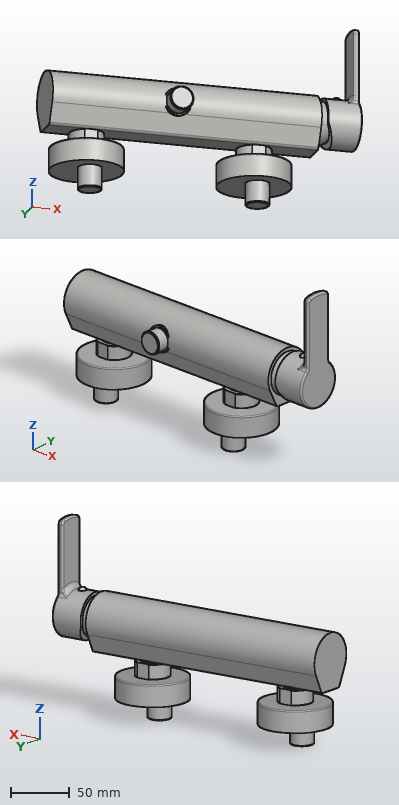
import cadquery as cq
import math

TOTAL_LENGTH = 277.6
TOTAL_HEIGHT = 167.41
TOTAL_DEPTH = 67.2

BODY_LENGTH = 240.7
BODY_RADIUS = 23.45
BODY_BOTTOM_Z = -27.7
BODY_TAPER_ANGLE = 25.6
BODY_CORNER_RADIUS = 3.0

UNION_COUNT = 2
UNION_SPACING = 150.0
FIRST_UNION_X = 37.0
NECK_RADIUS = 10.4
NUT_TOP_Z = -29.2
NUT_RADIUS = 15.5
NUT_ACROSS_FLATS = 28.6
NUT_CHAMFER = 0.5
ROSETTE_RADIUS = 32.3
ROSETTE_TOP_Z = -42.7
ROSETTE_HEIGHT = 20.0
ROSETTE_ROUND = 1.0
PIPE_RADIUS = 10.45
PIPE_OFFSET_Y = -10.0
PIPE_CHAMFER = 1.0
PIPE_BOTTOM_Z = -82.4

OUTLET_X = FIRST_UNION_X + UNION_SPACING / 2
OUTLET_RADIUS = 10.5
OUTLET_CHAMFER = 1.0
OUTLET_TIP_Y = ROSETTE_RADIUS - TOTAL_DEPTH
COLLAR_RADIUS = 12.2
COLLAR_FACE_Y = -22.9

BALL_RADIUS = 20.0
CAP_START_X = 247.3
CAP_RADIUS = 21.75
CAP_RELIEF_TOP_Z = -5.0
CAP_RELIEF_ANGLE = 23.0

BUTTON_X = 260.7
BUTTON_RADIUS = 4.0
BUTTON_HEIGHT = 2.5

LEVER_TOP_Z = PIPE_BOTTOM_Z + TOTAL_HEIGHT
LEVER_THICKNESS = 5.1
LEVER_WIDTH = 26.2
LEVER_CROWN = 2.5
LEVER_CORNER_RADIUS = 4.5
EDGE_ROUND = 1.7
LEVER_FOOT_RADIUS = 5.0


def upright_cylinder(x, y, bottom_z, top_z, radius):
    return cq.Workplane("XY", origin=(x, y, bottom_z)).circle(radius).extrude(top_z - bottom_z)


def body():
    taper = math.radians(BODY_TAPER_ANGLE)
    tangent_y = BODY_RADIUS * math.cos(taper)
    tangent_z = -BODY_RADIUS * math.sin(taper)
    bottom_y = tangent_y - (tangent_z - BODY_BOTTOM_Z) * math.tan(taper)
    return (
        cq.Workplane("YZ")
        .moveTo(bottom_y, BODY_BOTTOM_Z)
        .lineTo(tangent_y, tangent_z)
        .threePointArc((0, BODY_RADIUS), (-tangent_y, tangent_z))
        .lineTo(-bottom_y, BODY_BOTTOM_Z)
        .close()
        .extrude(BODY_LENGTH)
        .edges("|X and <Z")
        .fillet(BODY_CORNER_RADIUS)
    )


def wall_union(x):
    rosette_bottom_z = ROSETTE_TOP_Z - ROSETTE_HEIGHT
    neck = upright_cylinder(x, 0, ROSETTE_TOP_Z, BODY_BOTTOM_Z, NECK_RADIUS)

    nut = upright_cylinder(x, 0, ROSETTE_TOP_Z, NUT_TOP_Z, NUT_RADIUS)
    nut = nut.faces("<Z or >Z").chamfer(NUT_CHAMFER)
    flats_envelope = cq.Workplane("XY", origin=(x, 0, 0)).box(
        2 * NUT_RADIUS, NUT_ACROSS_FLATS, 2 * abs(ROSETTE_TOP_Z)
    )
    nut = nut.intersect(flats_envelope)

    rosette = upright_cylinder(x, 0, rosette_bottom_z, ROSETTE_TOP_Z, ROSETTE_RADIUS)
    rosette = rosette.faces(">Z").edges().fillet(ROSETTE_ROUND)
    pipe = upright_cylinder(x, PIPE_OFFSET_Y, PIPE_BOTTOM_Z, rosette_bottom_z, PIPE_RADIUS)
    pipe = pipe.faces("<Z").chamfer(PIPE_CHAMFER)

    return neck.union(nut).union(rosette).union(pipe)


def outlet():
    axis_plane = cq.Workplane("XZ", origin=(OUTLET_X, 0, 0))
    collar = axis_plane.circle(COLLAR_RADIUS).extrude(-COLLAR_FACE_Y)
    spout = axis_plane.circle(OUTLET_RADIUS).extrude(-OUTLET_TIP_Y).faces("<Y").chamfer(OUTLET_CHAMFER)
    return collar.union(spout)


def lever_blade():
    """Blade rising from the cap axis, with a crowned top and rounded upper corners."""
    half_width = LEVER_WIDTH / 2
    shoulder_z = LEVER_TOP_Z - LEVER_CROWN
    return (
        cq.Workplane("YZ", origin=(TOTAL_LENGTH - LEVER_THICKNESS, 0, 0))
        .moveTo(-half_width, 0)
        .lineTo(half_width, 0)
        .lineTo(half_width, shoulder_z)
        .threePointArc((0, LEVER_TOP_Z), (-half_width, shoulder_z))
        .close()
        .extrude(LEVER_THICKNESS)
        .edges("|X")
        .edges(">Z")
        .fillet(LEVER_CORNER_RADIUS)
    )


def lever_and_cap():
    """Cap and lever in one, with a rounded foot, rounded outer edges and a slanted relief below."""
    cap_length = TOTAL_LENGTH - CAP_START_X
    cap = cq.Workplane("YZ", origin=(CAP_START_X, 0, 0)).circle(CAP_RADIUS).extrude(cap_length)
    handle = cap.union(lever_blade())

    foot_zone = cq.selectors.BoxSelector(
        (CAP_START_X, -LEVER_WIDTH, CAP_RADIUS / 2),
        (TOTAL_LENGTH - LEVER_THICKNESS / 4, LEVER_WIDTH, CAP_RADIUS + LEVER_FOOT_RADIUS),
    )
    handle = handle.edges(foot_zone).fillet(LEVER_FOOT_RADIUS)

    blade_zone = cq.selectors.BoxSelector(
        (CAP_START_X, -LEVER_WIDTH, CAP_RADIUS + LEVER_FOOT_RADIUS),
        (TOTAL_LENGTH + LEVER_THICKNESS, LEVER_WIDTH, LEVER_TOP_Z),
    )
    handle = handle.edges(blade_zone).edges("not |X").fillet(EDGE_ROUND)
    return handle.cut(cap_relief())


def cap_relief():
    """Wedge taken off below, giving the cap room to tilt."""
    relief_depth = 2 * CAP_RADIUS
    relief_length = relief_depth * math.tan(math.radians(CAP_RELIEF_ANGLE))
    return (
        cq.Workplane("XZ", origin=(CAP_START_X, 0, CAP_RELIEF_TOP_Z))
        .polyline([(0, 0), (relief_length, -relief_depth), (0, -relief_depth)])
        .close()
        .extrude(CAP_RADIUS, both=True)
    )


def ball():
    return cq.Workplane("XY", origin=(BODY_LENGTH, 0, 0)).sphere(BALL_RADIUS)


def button():
    center_z = CAP_RADIUS + BUTTON_HEIGHT - BUTTON_RADIUS
    return cq.Workplane("XY", origin=(BUTTON_X, 0, center_z)).sphere(BUTTON_RADIUS)


result = body().union(ball()).union(lever_and_cap()).union(button()).union(outlet())
for union_index in range(UNION_COUNT):
    result = result.union(wall_union(FIRST_UNION_X + union_index * UNION_SPACING))